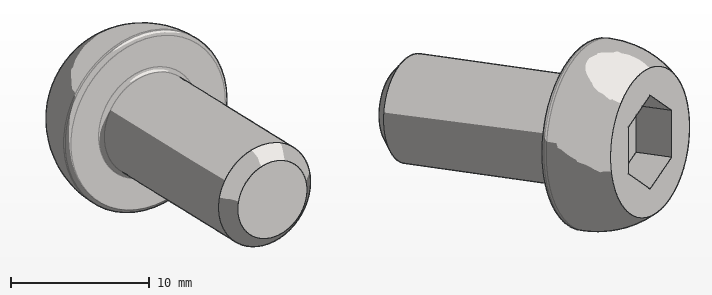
import cadquery as cq
import math

HEAD_DIAMETER = 14.0
HEAD_HEIGHT = 5.0
HEAD_FACE_DIAMETER = 11.0
HEAD_BAND_LENGTH = 0.2
HEAD_RIM_FILLET = 0.3
SHANK_DIAMETER = 8.0
SHANK_LENGTH = 16.0
UNDERHEAD_FILLET = 0.3
TIP_CHAMFER = 1.0
SOCKET_SIDES = 6
SOCKET_ACROSS_FLATS = 6.0
SOCKET_DEPTH = 3.0

HEAD_RADIUS = HEAD_DIAMETER / 2
HEAD_FACE_RADIUS = HEAD_FACE_DIAMETER / 2
SHANK_RADIUS = SHANK_DIAMETER / 2


def dome_midpoint(dome_end_x):
    """Point halfway along the dome arc, which is tangent to the band at dome_end_x."""
    run = HEAD_HEIGHT + dome_end_x
    drop = HEAD_RADIUS - HEAD_FACE_RADIUS
    dome_radius = (run**2 + drop**2) / (2 * drop)
    half_sweep = math.asin(run / dome_radius) / 2
    x = dome_end_x - dome_radius * math.sin(half_sweep)
    radius = HEAD_RADIUS - dome_radius * (1 - math.cos(half_sweep))
    return (x, radius)


def screw_body():
    """Half profile of head and shank, revolved about the X axis."""
    band_end_x = -HEAD_RIM_FILLET
    dome_end_x = band_end_x - HEAD_BAND_LENGTH
    profile = (
        cq.Workplane("XY")
        .moveTo(-HEAD_HEIGHT, 0)
        .lineTo(-HEAD_HEIGHT, HEAD_FACE_RADIUS)
        .threePointArc(dome_midpoint(dome_end_x), (dome_end_x, HEAD_RADIUS))
        .lineTo(band_end_x, HEAD_RADIUS)
        .radiusArc((0, HEAD_RADIUS - HEAD_RIM_FILLET), HEAD_RIM_FILLET)
        .lineTo(0, SHANK_RADIUS + UNDERHEAD_FILLET)
        .radiusArc((UNDERHEAD_FILLET, SHANK_RADIUS), -UNDERHEAD_FILLET)
        .lineTo(SHANK_LENGTH - TIP_CHAMFER, SHANK_RADIUS)
        .lineTo(SHANK_LENGTH, SHANK_RADIUS - TIP_CHAMFER)
        .lineTo(SHANK_LENGTH, 0)
        .close()
    )
    return profile.revolve(360, (0, 0, 0), (1, 0, 0))


def hex_socket():
    """Hexagonal prism with two corners on the Z axis, sunk from the head face."""
    across_corners = SOCKET_ACROSS_FLATS / math.cos(math.pi / SOCKET_SIDES)
    return (
        cq.Workplane("YZ", origin=(-HEAD_HEIGHT, 0, 0))
        .transformed(rotate=(0, 0, 90))
        .polygon(SOCKET_SIDES, across_corners)
        .extrude(SOCKET_DEPTH)
    )


result = screw_body().cut(hex_socket())